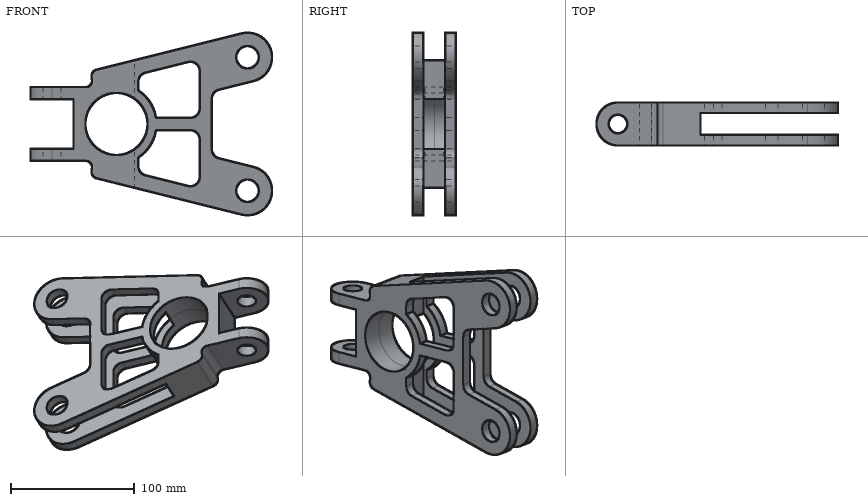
import cadquery as cq
import math

width = 35.0
bore_radius = 25.0

lug_radius = 20.0
lug_hole_radius = 9.0
lug_x = 106.2
lug_z = 54.0
arm_slope = math.atan(0.25)
rear_edge_x = 77.5
rear_fillet = 7.5

fork_outer_z = 30.0
fork_thickness = 10.0
fork_inner_z = fork_outer_z - fork_thickness
fork_radius = width / 2
fork_tip_x = lug_x + lug_radius - 196
fork_hole_x = fork_tip_x + fork_radius
fork_hole_radius = 7.5
fork_floor_x = -34.9

shoulder_foot_x = -18.5
shoulder_foot_fillet = 5.0
shoulder_top_fillet = 5.9

slot_start_x = 14.7
plate_thickness = 8.8
slot_width = width - 2 * plate_thickness

window_left_x = 17.8
window_right_x = 67.5
window_base_z = 5.0
window_rim = 12.2
window_rim_radius = 32.5
window_fillet = 7.5

cos_slope = math.cos(arm_slope)
sin_slope = math.sin(arm_slope)
tan_slope = math.tan(arm_slope)


def arm_line_z(x, offset):
    """Height at x of the line parallel to the upper arm, offset from the lug center."""
    return lug_z + (x - lug_x) * tan_slope + offset / cos_slope


def extrude_across(sketch, depth=width):
    """Extrude an XZ sketch symmetrically about Y = 0."""
    return sketch.extrude(depth / 2, both=True)


def cylinder_across(x, z, radius):
    return extrude_across(cq.Workplane("XZ").center(x, z).circle(radius))


def both_halves(upper):
    return upper.union(upper.mirror("XY"))


def make_upper_body():
    foot_to_lug_x = lug_x - shoulder_foot_x
    foot_to_lug_z = lug_z - fork_outer_z
    wall_length = lug_radius + foot_to_lug_z * cos_slope - foot_to_lug_x * sin_slope
    shoulder_top = (
        shoulder_foot_x - wall_length * sin_slope,
        fork_outer_z + wall_length * cos_slope,
    )
    lug_top = (lug_x - lug_radius * sin_slope, lug_z + lug_radius * cos_slope)
    lug_end = (lug_x + lug_radius * cos_slope, lug_z + lug_radius * sin_slope)
    lug_bottom = (lug_x + lug_radius * sin_slope, lug_z - lug_radius * cos_slope)
    rear_corner = (rear_edge_x, arm_line_z(rear_edge_x, -lug_radius))

    body = extrude_across(
        cq.Workplane("XZ")
        .moveTo(fork_tip_x, 0)
        .lineTo(fork_tip_x, fork_outer_z)
        .lineTo(shoulder_foot_x, fork_outer_z)
        .lineTo(*shoulder_top)
        .lineTo(*lug_top)
        .threePointArc(lug_end, lug_bottom)
        .lineTo(*rear_corner)
        .lineTo(rear_edge_x, 0)
        .close()
    )

    def edge_at(x, z):
        return cq.selectors.NearestToPointSelector((x, 0, z))

    body = body.edges(edge_at(shoulder_foot_x, fork_outer_z)).fillet(shoulder_foot_fillet)
    body = body.edges(edge_at(*shoulder_top)).fillet(shoulder_top_fillet)
    return body.edges(edge_at(*rear_corner)).fillet(rear_fillet)


def make_fork_gap():
    gap_length = fork_floor_x - fork_tip_x
    return cq.Workplane("XY").box(
        gap_length, width, 2 * fork_inner_z, centered=(False, True, True)
    ).translate((fork_tip_x, 0, 0))


def make_plan_outline():
    """Plan shape of the part, rounded at the fork tip."""
    end_x = lug_x + lug_radius
    height = 2 * (lug_z + lug_radius)
    return (
        cq.Workplane("XY")
        .moveTo(end_x, -width / 2)
        .lineTo(fork_hole_x, -width / 2)
        .threePointArc((fork_tip_x, 0), (fork_hole_x, width / 2))
        .lineTo(end_x, width / 2)
        .close()
        .extrude(height / 2, both=True)
    )


def make_plate_slot():
    slot_length = lug_x + lug_radius - slot_start_x
    height = 2 * (lug_z + lug_radius)
    return cq.Workplane("XY").box(
        slot_length, slot_width, height, centered=(False, True, True)
    ).translate((slot_start_x, 0, 0))


def make_upper_window():
    rim_offset = lug_radius - window_rim
    blank = extrude_across(
        cq.Workplane("XZ").polyline([
            (window_left_x, window_base_z),
            (window_right_x, window_base_z),
            (window_right_x, arm_line_z(window_right_x, rim_offset)),
            (window_left_x, arm_line_z(window_left_x, rim_offset)),
        ]).close()
    )
    rounded = blank.edges("|Y").fillet(window_fillet)
    return rounded.cut(cylinder_across(0, 0, window_rim_radius))


result = both_halves(make_upper_body())
result = result.intersect(make_plan_outline())
result = result.cut(make_fork_gap())
result = result.cut(make_plate_slot())
result = result.cut(cylinder_across(0, 0, bore_radius))
result = result.cut(both_halves(make_upper_window()))
for side in (1, -1):
    result = result.cut(cylinder_across(lug_x, side * lug_z, lug_hole_radius))
fork_holes = (
    cq.Workplane("XY").center(fork_hole_x, 0).circle(fork_hole_radius)
    .extrude(fork_outer_z, both=True)
)
result = result.cut(fork_holes)